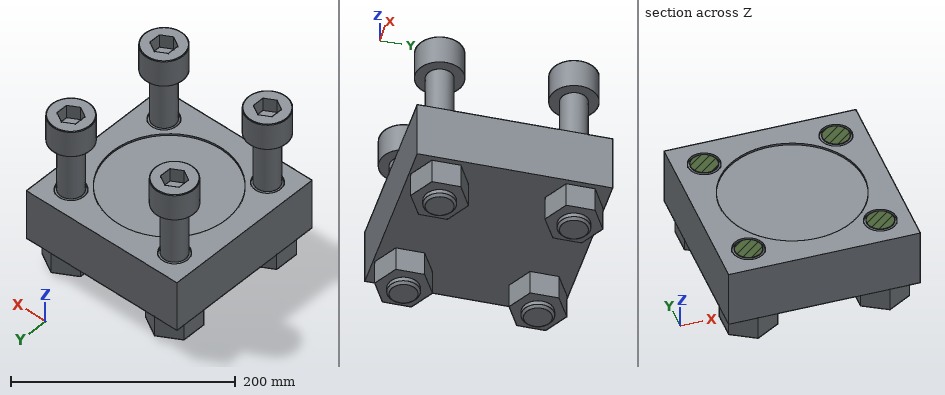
import cadquery as cq
import math

plate_side = 180.0
plate_bottom = 31.9
plate_top = 89.6
overall_height = 180.0

recess_diameter = 135.0
recess_depth = 2.0

bolt_spacing = 123.7
head_diameter = 45.0
head_height = 30.0
head_chamfer = 0.7
socket_across_flats = 22.1
socket_depth = 15.0

shank_diameter = 25.7
thread_diameter = 30.0
thread_taper_height = 2.5

nut_across_flats = 46.0
nut_height = 25.2

thread_taper_width = (thread_diameter - shank_diameter) / 2
head_bottom = overall_height - head_height


def corner_diameter(across_flats):
    """Diameter of the circle through the corners of a regular hexagon."""
    return across_flats / math.cos(math.pi / 6)


def cylinder(diameter, bottom, top):
    """Upright cylinder on the Z axis."""
    return cq.Workplane("XY").workplane(offset=bottom).circle(diameter / 2).extrude(top - bottom)


def hexagon(across_flats, bottom, top):
    """Upright hexagonal prism on the Z axis, with two flats facing -X and +X."""
    prism = (
        cq.Workplane("XY")
        .workplane(offset=bottom)
        .polygon(6, corner_diameter(across_flats))
        .extrude(top - bottom)
    )
    return prism.rotate((0, 0, 0), (0, 0, 1), 30)


def make_plate():
    """Square plate with a shallow round recess and four bolt holes."""
    plate = (
        cq.Workplane("XY")
        .workplane(offset=plate_bottom)
        .rect(plate_side, plate_side)
        .extrude(plate_top - plate_bottom)
    )
    plate = plate.cut(cylinder(recess_diameter, plate_top - recess_depth, plate_top))
    return (
        plate.faces(">Z")
        .workplane(origin=(0, 0, plate_top))
        .rect(bolt_spacing, bolt_spacing, forConstruction=True)
        .vertices()
        .hole(thread_diameter)
    )


def make_thread():
    """Plain thread body, revolved about Z, tapered at both ends."""
    shank_radius = shank_diameter / 2
    thread_radius = shank_radius + thread_taper_width
    return (
        cq.Workplane("XZ")
        .moveTo(0, 0)
        .lineTo(shank_radius, 0)
        .lineTo(thread_radius, thread_taper_height)
        .lineTo(thread_radius, plate_top - thread_taper_height)
        .lineTo(shank_radius, plate_top)
        .lineTo(0, plate_top)
        .close()
        .revolve(360, (0, 0, 0), (0, 1, 0))
    )


def make_bolt():
    """Socket head bolt standing on Z = 0, with its nut against the plate underside."""
    head = cylinder(head_diameter, head_bottom, overall_height).faces(">Z").chamfer(head_chamfer)
    socket = hexagon(socket_across_flats, overall_height - socket_depth, overall_height)
    shank = cylinder(shank_diameter, plate_top, head_bottom)
    thread = make_thread()
    nut = hexagon(nut_across_flats, plate_bottom - nut_height, plate_bottom)
    return head.cut(socket).union(shank).union(thread).union(nut)


result = make_plate()
bolt = make_bolt()
for x in (-bolt_spacing / 2, bolt_spacing / 2):
    for y in (-bolt_spacing / 2, bolt_spacing / 2):
        result = result.union(bolt.translate((x, y, 0)))